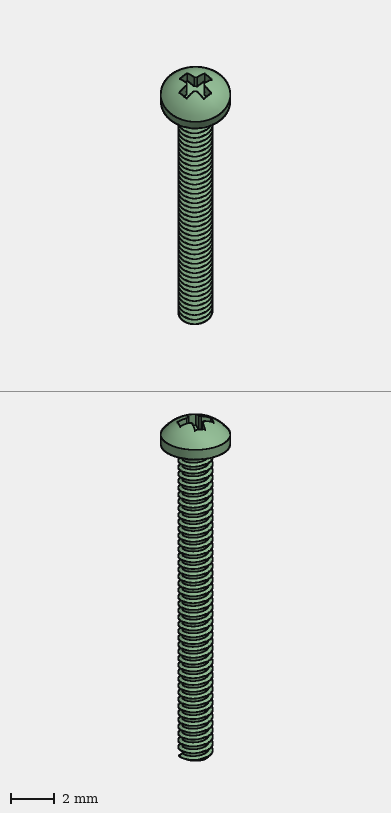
import cadquery as cq

shank_length = 15.96
shank_diameter = 1.22

head_diameter = 3.2
rim_height = 0.5
dome_height = 0.8

recess_span = 1.6
recess_slot_width = 0.48
recess_corner_chamfer = 0.1
recess_depth = 0.75

thread_diameter = 1.6
thread_pitch = 0.35
thread_base_width = 0.2
thread_start_lift = 0.08
thread_turns = 45.8
thread_root_overlap = 0.05
thread_start_angle = 180

head_radius = head_diameter / 2
shank_radius = shank_diameter / 2
thread_radius = thread_diameter / 2
head_height = rim_height + dome_height


def make_head():
    """Revolve the rim and the dome about Z."""
    dome_radius = (head_radius**2 + dome_height**2) / (2 * dome_height)
    dome_center_z = head_height - dome_radius
    arc_mid_x = head_radius / 2
    arc_mid_z = dome_center_z + (dome_radius**2 - arc_mid_x**2) ** 0.5
    return (
        cq.Workplane("XZ")
        .lineTo(head_radius, 0)
        .lineTo(head_radius, rim_height)
        .threePointArc((arc_mid_x, arc_mid_z), (0, head_height))
        .close()
        .revolve(360, (0, 0, 0), (0, 1, 0))
    )


def make_recess():
    """Cross of two slots with chamfered inner corners, sunk from the dome top."""
    floor = cq.Workplane("XY").workplane(offset=head_height - recess_depth)
    slot_along_x = floor.rect(recess_span, recess_slot_width).extrude(recess_depth)
    slot_along_y = floor.rect(recess_slot_width, recess_span).extrude(recess_depth)
    core_width = recess_slot_width + 2 * recess_corner_chamfer
    core = (
        floor.rect(core_width, core_width)
        .extrude(recess_depth)
        .edges("|Z")
        .chamfer(recess_corner_chamfer)
    )
    return slot_along_x.union(slot_along_y).union(core)


def make_shank():
    """Plain cylinder at the thread's root diameter."""
    return cq.Workplane("XY").circle(shank_radius).extrude(-shank_length)


def make_thread():
    """Sweep a triangular ridge along a right-hand helix."""
    root_radius = shank_radius - thread_root_overlap
    flank_run = thread_base_width / 2
    overlap_run = flank_run * thread_root_overlap / (thread_radius - shank_radius)
    root_half_width = flank_run + overlap_run
    helix = cq.Wire.makeHelix(thread_pitch, thread_turns * thread_pitch, root_radius)
    ridge = (
        cq.Workplane("XZ")
        .moveTo(root_radius, -root_half_width)
        .lineTo(thread_radius, 0)
        .lineTo(root_radius, root_half_width)
        .close()
        .sweep(cq.Workplane(helix), isFrenet=True)
    )
    crest_start_z = thread_start_lift - shank_length
    return ridge.rotate((0, 0, 0), (0, 0, 1), thread_start_angle).translate((0, 0, crest_start_z))


head = make_head().cut(make_recess())
result = head.union(make_shank()).union(make_thread())